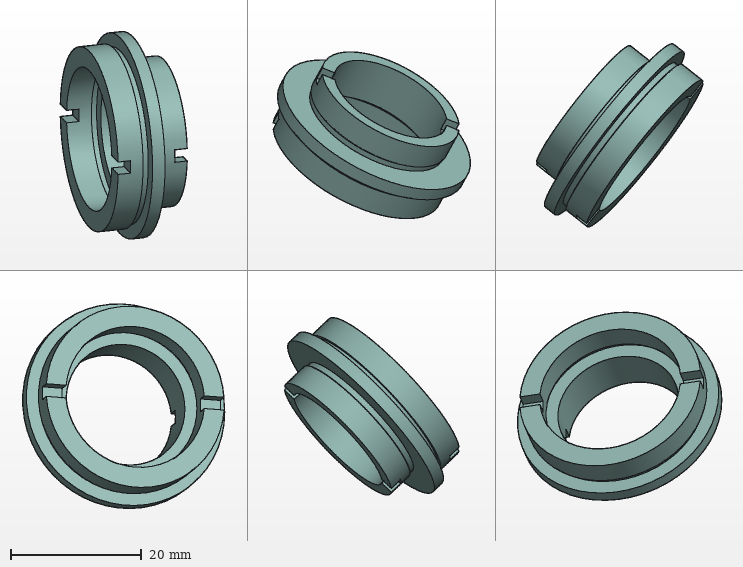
import cadquery as cq

flange_width = 2.0
relief_width = flange_width / 2
collar_length = 2 * flange_width
total_length = 2 * (collar_length + relief_width) + flange_width
front_face = -total_length / 2

flange_diameter = 31.75
front_collar_diameter = 28.5
front_relief_diameter = 27.5
rear_relief_diameter = 22.73
rear_collar_diameter = 23.2
bore_diameter = 19.0
counterbore_diameter = 22.2
inner_relief_diameter = 23.25

slot_width = 2.0
slot_depth = slot_width


def cylinder(diameter, start, length):
    """Solid disc on the Y axis, reaching from start towards +Y."""
    plane = cq.Plane(origin=(0, start, 0), xDir=(1, 0, 0), normal=(0, 1, 0))
    return cq.Workplane(plane).circle(diameter / 2).extrude(length)


def stepped_body():
    """Stack the collars, thread reliefs and flange from front to rear."""
    steps = [
        (front_collar_diameter, collar_length),
        (front_relief_diameter, relief_width),
        (flange_diameter, flange_width),
        (rear_relief_diameter, relief_width),
        (rear_collar_diameter, collar_length),
    ]
    body = cq.Workplane("XY")
    start = front_face
    for diameter, length in steps:
        body = body.union(cylinder(diameter, start, length))
        start += length
    return body


def end_slot(end):
    """Slot along X in the front (end = -1) or rear (end = 1) face."""
    middle = end * (total_length - slot_depth) / 2
    return cq.Workplane("XY").box(flange_diameter, slot_depth, slot_width).translate((0, middle, 0))


def stepped_bore():
    """Through bore with a front counterbore that ends in a wider relief groove."""
    bore = cylinder(bore_diameter, front_face, total_length)
    counterbore = cylinder(counterbore_diameter, front_face, collar_length)
    relief = cylinder(inner_relief_diameter, front_face + collar_length, relief_width)
    return bore.union(counterbore).union(relief)


result = stepped_body().cut(stepped_bore())
for end in (-1, 1):
    result = result.cut(end_slot(end))